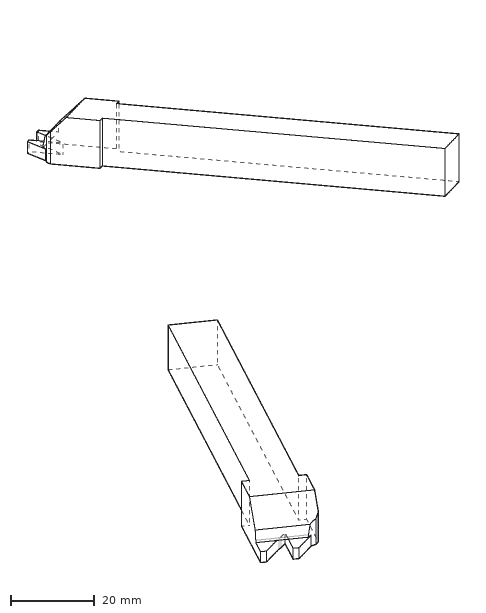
import cadquery as cq
import math


length = 105.0
head_width = 16.0
height = 12.0

head_length = 20.0
shank_width = 12.1
shank_inset = (head_width - shank_width) / 2

bevel_size = 6.0
bevel_end_x = 11.5
lip_top_x = bevel_end_x - bevel_size
lip_top_z = height - bevel_size
nose_x = 4.9
nose_face_height = 3.6

tooth_count = 2
tooth_height = 2.9
tooth_pitch = 8.0
tip_width = 1.5
flank_slope = math.tan(math.radians(36.5))
flank_length = 6.0
flank_end = tip_width + flank_length * flank_slope

gap_step_length = 0.5
gap_step_drop = 0.6

corner_start = (nose_x, 12.9)
corner_middle = (5.9, 13.9)
corner_end = (6.4, 15.0)
corner_chamfer_length = (head_width - corner_end[1]) / flank_slope


def at(x, depth):
    """Plan point at a depth measured from the head side toward -Y."""
    return (x, -depth)


def make_shank():
    return (
        cq.Workplane("XY")
        .box(length - head_length, shank_width, height, centered=False)
        .translate((head_length, -shank_inset - shank_width, 0))
    )


def make_head():
    """Plan outline of the head, trimmed to its side profile."""
    plan = (
        cq.Workplane("XY")
        .moveTo(*at(nose_x, 0))
        .lineTo(*at(*corner_start))
        .threePointArc(at(*corner_middle), at(*corner_end))
        .lineTo(*at(corner_end[0] + corner_chamfer_length, head_width))
        .lineTo(*at(head_length, head_width))
        .lineTo(*at(head_length, 0))
        .close()
        .extrude(height)
    )
    side_points = [
        (nose_x, 0),
        (nose_x, nose_face_height),
        (lip_top_x, lip_top_z),
        (bevel_end_x, height),
        (head_length, height),
        (head_length, 0),
    ]
    side = cq.Workplane("XZ").polyline(side_points).close().extrude(head_width)
    return plan.intersect(side)


def make_gap():
    """Space between the first tooth's sloping flank and the second tooth's straight side."""
    step_x = flank_length + gap_step_length
    step_depth = flank_end + gap_step_drop
    points = [
        at(0, tip_width),
        at(flank_length, flank_end),
        at(step_x, step_depth),
        at(step_x + (tooth_pitch - step_depth) / flank_slope, tooth_pitch),
        at(0, tooth_pitch),
    ]
    return cq.Workplane("XY").polyline(points).close().extrude(tooth_height)


def make_tooth(side_depth):
    """Tooth with one straight side at the given depth and one sloping flank."""
    points = [
        at(0, side_depth),
        at(0, side_depth + tip_width),
        at(flank_length, side_depth + flank_end),
        at(flank_length, side_depth),
    ]
    return cq.Workplane("XY").polyline(points).close().extrude(tooth_height)


result = make_head().cut(make_gap()).union(make_shank())
for index in range(tooth_count):
    result = result.union(make_tooth(index * tooth_pitch))